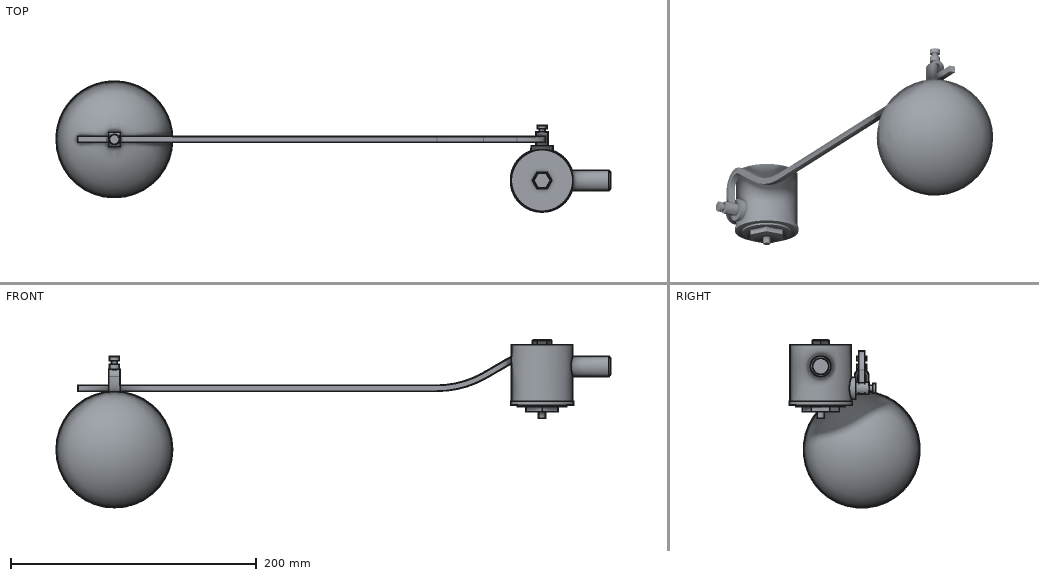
import cadquery as cq
import math

quarter_turn = 90


overall_length = 451.5
ball_radius = 47.5
rod_size = 5.0
rod_start_x = -30.0
rod_axis_z = ball_radius + rod_size / 2

rise_angle = math.radians(30)
rise_bend_start_x = 262.5
rise_bend_radius = 78.5
drop_bend_start_x = 328.5

clamp_length = 9.5
clamp_radius = 6.0
clamp_height = 18.0
clamp_root = 2.5
slot_diameter = 6.0
slot_height = 15.5

screw_diameter = 5.0
screw_head_diameter = 8.0
float_screw_top = 28.5
float_screw_head_height = 3.5
float_nut_height = 4.0
pivot_screw_top = 14.0
pivot_screw_head_height = 2.5

valve_x = 348.0
valve_y = -33.5
housing_diameter = 50.0
housing_top = 85.5
housing_bottom = 39.5
flange_diameter = 51.5
flange_thickness = 3.0
ring_diameter = 40.0
ring_thickness = 1.5
hex_sides = 6
lower_hex_flats = 26.0
lower_hex_height = 4.0
stem_diameter = 6.0
stem_length = 5.5
cap_corner_diameter = 16.0
cap_height = 4.0
cap_chamfer = 1.0

pipe_diameter = 16.5
pipe_axis_z = 67.5
pipe_end_x = overall_length - ball_radius
pipe_chamfer = 2.0
disc_diameter = 18.0
disc_face_y = -5.0
post_diameter = 10.0
post_height = 8.5
pivot_z = rod_axis_z


def cylinder_z(diameter, bottom, height):
    """Upright cylinder on the Z axis."""
    return cq.Workplane("XY").workplane(offset=bottom).circle(diameter / 2).extrude(height)


def arch(radius, bottom, top, length):
    """Round-topped bar along X, centred on X = 0."""
    spring_z = top - radius
    profile = (
        cq.Workplane("YZ")
        .moveTo(-radius, bottom)
        .lineTo(radius, bottom)
        .lineTo(radius, spring_z)
        .threePointArc((0, top), (-radius, spring_z))
        .close()
    )
    return profile.extrude(length / 2, both=True)


def make_screw(top, head_height):
    """Screw along Z that stands on the rod and ends in a round head."""
    shank = cylinder_z(screw_diameter, rod_size, top - rod_size)
    head = cylinder_z(screw_head_diameter, top - head_height, head_height)
    return shank.union(head)


def make_float():
    """Ball with an arched rod clamp, whose slot floor touches the ball, and its screw and nut."""
    clamp = arch(clamp_radius, -clamp_root, clamp_height, clamp_length)
    clamp = clamp.cut(arch(slot_diameter / 2, 0, slot_height, clamp_length))
    nut = cylinder_z(screw_head_diameter, clamp_height, float_nut_height)
    screw = make_screw(float_screw_top, float_screw_head_height)
    clamp_set = clamp.union(nut).union(screw).translate((0, 0, ball_radius))
    return cq.Workplane("YZ").sphere(ball_radius).union(clamp_set)


def make_rod():
    """Square rod swept along the arm, up the rise and down into the pivot post."""
    sine = math.sin(rise_angle)
    cosine = math.cos(rise_angle)
    rise_end_x = rise_bend_start_x + rise_bend_radius * sine
    rise_end_z = rod_axis_z + rise_bend_radius * (1 - cosine)
    drop_start_z = rise_end_z + (drop_bend_start_x - rise_end_x) * math.tan(rise_angle)
    drop_bend_radius = (valve_x - drop_bend_start_x) / (1 + sine)
    drop_end_z = drop_start_z - drop_bend_radius * cosine
    drop_centre_x = valve_x - drop_bend_radius
    path = (
        cq.Workplane("XZ")
        .moveTo(rod_start_x, rod_axis_z)
        .lineTo(rise_bend_start_x, rod_axis_z)
        .tangentArcPoint((rise_end_x, rise_end_z), relative=False)
        .lineTo(drop_bend_start_x, drop_start_z)
        .threePointArc((drop_centre_x, drop_end_z + drop_bend_radius), (valve_x, drop_end_z))
        .lineTo(valve_x, pivot_z - post_diameter / 2)
    )
    section = cq.Workplane("YZ", origin=(rod_start_x, 0, rod_axis_z)).rect(rod_size, rod_size)
    return section.sweep(path)


def make_housing():
    """Valve cylinder with its cap, bottom flange, ring, hexagon and stem, on the Z axis."""
    flange_bottom = housing_bottom - flange_thickness
    ring_bottom = flange_bottom - ring_thickness
    hex_bottom = ring_bottom - lower_hex_height
    hex_corners = lower_hex_flats / math.cos(math.pi / hex_sides)
    lower_hex = cq.Workplane("XY").workplane(offset=hex_bottom).polygon(hex_sides, hex_corners)
    lower_hex = lower_hex.extrude(lower_hex_height).rotate((0, 0, 0), (0, 0, 1), quarter_turn)
    cap = cq.Workplane("XY").workplane(offset=housing_top).polygon(hex_sides, cap_corner_diameter)
    cap = cap.extrude(cap_height).faces(">Z").chamfer(cap_chamfer)
    return (
        cylinder_z(housing_diameter, housing_bottom, housing_top - housing_bottom)
        .union(cylinder_z(flange_diameter, flange_bottom, flange_thickness))
        .union(cylinder_z(ring_diameter, ring_bottom, ring_thickness))
        .union(lower_hex)
        .union(cylinder_z(stem_diameter, hex_bottom - stem_length, stem_length))
        .union(cap)
    )


def make_pipe():
    """Side pipe stub along +X, starting on the housing axis."""
    pipe = cq.Workplane("YZ", origin=(valve_x, valve_y, pipe_axis_z)).circle(pipe_diameter / 2)
    return pipe.extrude(pipe_end_x - valve_x).faces(">X").chamfer(pipe_chamfer)


def make_pivot():
    """Pivot disc with a round post, cross-drilled square for the rod, and its clamp screw."""
    disc = cq.Workplane("XZ", origin=(valve_x, disc_face_y, pivot_z)).circle(disc_diameter / 2)
    disc = disc.extrude(disc_face_y - valve_y)
    rod_hole = cq.Workplane("YZ").center(0, rod_size / 2).rect(rod_size, rod_size)
    post = cylinder_z(post_diameter, -clamp_root, post_height + clamp_root)
    post = post.cut(rod_hole.extrude(post_diameter, both=True))
    holder = post.union(make_screw(pivot_screw_top, pivot_screw_head_height))
    holder = holder.rotate((0, 0, 0), (0, 1, 0), quarter_turn).rotate((0, 0, 0), (0, 0, 1), quarter_turn)
    return disc.union(holder.translate((valve_x, -rod_size / 2, pivot_z)))


float_body = make_float()
rod = make_rod()
valve = make_housing().translate((valve_x, valve_y, 0)).union(make_pipe()).union(make_pivot())

result = cq.Compound.makeCompound([float_body.val(), rod.val(), valve.val()])